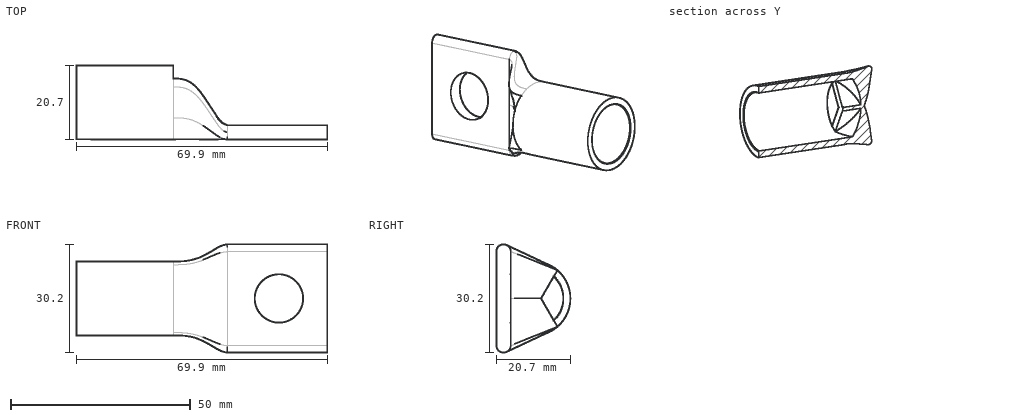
import cadquery as cq
import math

barrel_radius = 10.325
barrel_length = 27.0
bore_radius = 8.3
mouth_chamfer = 0.2

total_length = 69.85
tongue_start = 42.0
tongue_width = 30.18
tongue_thickness = 4.0
stud_hole_diameter = 13.4
stud_hole_to_end = 13.5
tongue_back = -barrel_radius
tongue_middle = tongue_back + tongue_thickness / 2

pocket_fold_apex = -0.33
dome_setback = 8.0
dome_center_x = barrel_length - dome_setback
dome_center_y = -8.0

fold_half_angle = 60.0
outer_fold_apex = 2.15
lower_seam_angle = 114.0
upper_seam_angle = 65.0
neck_steps = 6
flattening_delay = 1.5


def on_circle(radius, angle):
    """Point (y, z) on a circle about the X axis, the angle in degrees from +Y towards +Z."""
    return radius * math.cos(math.radians(angle)), radius * math.sin(math.radians(angle))


def fold_corner_angle(radius, apex):
    """Angle at which a fold flank rising from (apex, 0) meets the circle."""
    flank_offset = apex * math.sin(math.radians(fold_half_angle))
    return fold_half_angle - math.degrees(math.asin(flank_offset / radius))


def folded_half(radius, apex):
    """Upper half of the folded barrel section, from the back round to the fold apex."""
    corner_angle = fold_corner_angle(radius, apex)
    return [
        on_circle(radius, 180),
        on_circle(radius, lower_seam_angle),
        on_circle(radius, (lower_seam_angle + upper_seam_angle) / 2),
        on_circle(radius, upper_seam_angle),
        on_circle(radius, (upper_seam_angle + corner_angle) / 2),
        on_circle(radius, corner_angle),
        (apex, 0),
    ]


def flat_half(thickness, width):
    """Upper half of a flat section with a round end, point for point like folded_half."""
    end_radius = thickness / 2
    end_center = width / 2 - end_radius
    round_end = [on_circle(end_radius, angle) for angle in (180, 135, 90, 45, 0)]
    return [
        (tongue_middle - end_radius, 0),
        *[(tongue_middle + y, end_center + z) for y, z in round_end],
        (tongue_middle + end_radius, 0),
    ]


def ease(fraction):
    """Blend from 0 to 1, level at both ends; a larger delay makes the change come later."""
    late = fraction**flattening_delay
    return late * late * (3 - 2 * late)


def blend_half(start, end, fraction):
    """Half section part way from start to end, every point moving along a straight line."""
    share = ease(fraction)
    return [
        (y0 + (y1 - y0) * share, z0 + (z1 - z0) * share)
        for (y0, z0), (y1, z1) in zip(start, end)
    ]


def section_wire(half, x):
    """Closed wire at station x from a half section mirrored about Z = 0."""
    back, seam_low, side, seam_high, shoulder, corner, apex = [cq.Vector(x, y, z) for y, z in half]

    def below(point):
        return cq.Vector(point.x, point.y, -point.z)

    if math.isclose(back.y, seam_low.y):
        back_edge = cq.Edge.makeLine(below(seam_low), seam_low)
    else:
        back_edge = cq.Edge.makeThreePointArc(below(seam_low), back, seam_low)
    edges = [
        back_edge,
        cq.Edge.makeThreePointArc(seam_low, side, seam_high),
        cq.Edge.makeThreePointArc(seam_high, shoulder, corner),
        cq.Edge.makeLine(corner, apex),
        cq.Edge.makeLine(apex, below(corner)),
        cq.Edge.makeThreePointArc(below(corner), below(shoulder), below(seam_high)),
        cq.Edge.makeThreePointArc(below(seam_high), below(side), below(seam_low)),
    ]
    return cq.Wire.assembleEdges(edges)


def make_barrel():
    tube = cq.Workplane("YZ").circle(barrel_radius).circle(bore_radius).extrude(barrel_length)
    mouth_edge = cq.selectors.RadiusNthSelector(0)
    return tube.faces("<X").edges(mouth_edge).chamfer(mouth_chamfer)


def make_pocket():
    """Bore continued behind the inner faces of the fold, domed through the fold corners."""
    corner_y, corner_z = on_circle(bore_radius, fold_corner_angle(bore_radius, pocket_fold_apex))
    dome_radius = math.hypot(dome_setback, corner_y - dome_center_y, corner_z)
    dome = (
        cq.Workplane()
        .sphere(dome_radius)
        .rotate((0, 0, 0), (0, 0, 1), 180)
        .translate((dome_center_x, dome_center_y, 0))
    )
    barrel_end = cq.Workplane("YZ", origin=(barrel_length, 0, 0))
    bore = barrel_end.circle(bore_radius).extrude(dome_radius)
    flank_end = pocket_fold_apex + barrel_radius
    flank_rise = barrel_radius * math.tan(math.radians(fold_half_angle))
    beyond_fold = (
        barrel_end.polyline(
            [(pocket_fold_apex, 0), (flank_end, flank_rise), (flank_end, -flank_rise)]
        )
        .close()
        .extrude(dome_radius)
    )
    return bore.intersect(dome).cut(beyond_fold)


def make_neck():
    """Solid neck flattening from the folded barrel section to the tongue, with its pocket."""
    folded = folded_half(barrel_radius, outer_fold_apex)
    flat = flat_half(tongue_thickness, tongue_width)
    neck_length = tongue_start - barrel_length
    wires = []
    for step in range(neck_steps + 1):
        fraction = step / neck_steps
        half = blend_half(folded, flat, fraction)
        wires.append(section_wire(half, barrel_length + fraction * neck_length))
    return cq.Workplane(cq.Solid.makeLoft(wires)).cut(make_pocket())


def make_tongue():
    tongue_length = total_length - tongue_start
    plate = (
        cq.Workplane("YZ", origin=(tongue_start, tongue_middle, 0))
        .slot2D(tongue_width, tongue_thickness, 90)
        .extrude(tongue_length)
    )
    stud_hole = (
        cq.Workplane("XZ", origin=(total_length - stud_hole_to_end, tongue_middle, 0))
        .circle(stud_hole_diameter / 2)
        .extrude(tongue_thickness, both=True)
    )
    return plate.cut(stud_hole)


result = make_barrel().union(make_neck()).union(make_tongue())